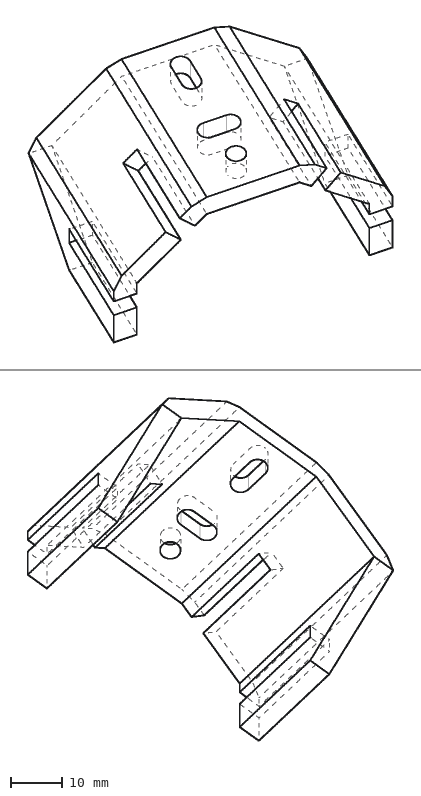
import cadquery as cq
import math

width = 60.0
length = 40.0
wall = 5.0
top_flat = 20.0
panel_width = 20.05
leg_height = 15.0

inner_half = width / 2 - wall
flat_half = top_flat / 2
panel_run = inner_half - flat_half
panel_rise = math.sqrt(panel_width**2 - panel_run**2)
panel_angle = math.atan2(panel_rise, panel_run)
inner_top = leg_height + panel_rise
height = inner_top + wall

hole_diameter = 4.0
oblong_length = 9.0
lengthwise_slot_x = 8.5
crosswise_slot_x = 24.0
round_hole_x = 32.0
panel_slot_length = 20.0
panel_slot_center = 5.4
leg_slot_length = 21.0
leg_slot_bottom = 8.0
taper_length = length - leg_slot_length


def panel_point(along, outward):
    """Return (y, z) at a distance down the +Y slope and outward from its inner face."""
    c, s = math.cos(panel_angle), math.sin(panel_angle)
    return (flat_half + along * c + outward * s, inner_top - along * s + outward * c)


def make_shell():
    """Extrude the bent section; the outer side of each bend is a flat facet."""
    half_outline = [
        (flat_half, height),
        panel_point(0, wall),
        panel_point(panel_width, wall),
        (width / 2, leg_height),
        (width / 2, 0),
        (inner_half, 0),
        (inner_half, leg_height),
        (flat_half, inner_top),
    ]
    mirrored = [(-y, z) for y, z in reversed(half_outline)]
    return cq.Workplane("YZ").polyline(half_outline + mirrored).close().extrude(length)


def make_leg_cuts():
    """Tapered corner and open-ended slot, through both legs."""
    corner = [(0, 0), (taper_length, 0), (0, leg_height)]
    taper = cq.Workplane("XZ").polyline(corner).close().extrude(width / 2, both=True)
    slot = cq.Workplane("XZ").moveTo(taper_length, leg_slot_bottom)
    slot = slot.rect(leg_slot_length, hole_diameter, centered=False).extrude(width / 2, both=True)
    return taper.union(slot)


def make_panel_slot():
    """Open-ended slot, square to the +Y sloping panel."""
    y, z = panel_point(panel_slot_center, wall / 2)
    slot = cq.Workplane("XY").box(panel_slot_length, hole_diameter, 2 * wall)
    slot = slot.rotate((0, 0, 0), (1, 0, 0), -math.degrees(panel_angle))
    return slot.translate((length - panel_slot_length / 2, y, z))


def make_top_holes():
    """Two oblong holes, one each way, and a round hole along the centre line of the top."""
    plane = cq.Workplane("XY", origin=(0, 0, inner_top))
    lengthwise = plane.center(lengthwise_slot_x, 0).slot2D(oblong_length, hole_diameter)
    lengthwise = lengthwise.extrude(wall)
    crosswise = plane.center(crosswise_slot_x, 0).slot2D(oblong_length, hole_diameter, 90)
    crosswise = crosswise.extrude(wall)
    round_hole = plane.center(round_hole_x, 0).circle(hole_diameter / 2).extrude(wall)
    return lengthwise.union(crosswise).union(round_hole)


panel_slot = make_panel_slot()
result = make_shell().cut(make_leg_cuts()).cut(make_top_holes())
result = result.cut(panel_slot).cut(panel_slot.mirror("XZ"))